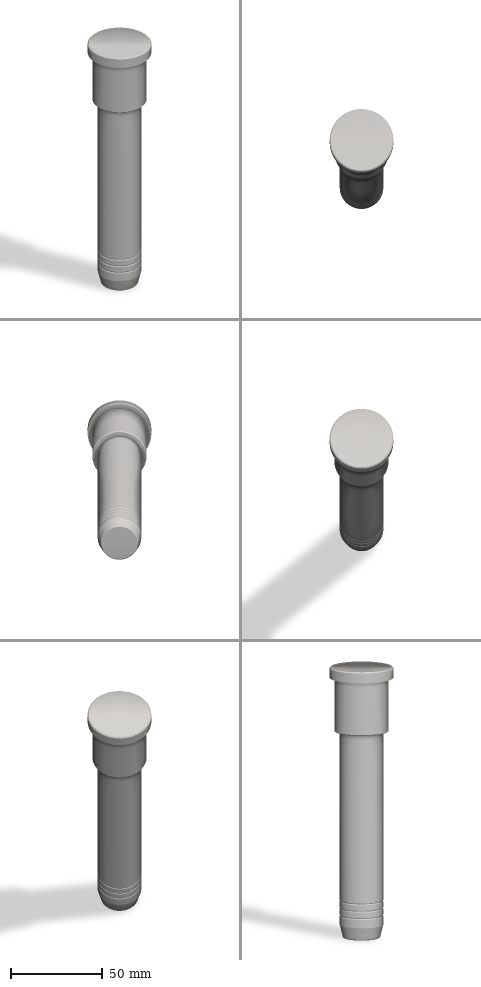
import cadquery as cq

length = 151.0
head_radius = 17.5
head_height = 6.0
collar_radius = 15.0
collar_bottom = 115.0
shank_diameter = 24.0
shank_radius = shank_diameter / 2

head_chamfer = 0.6
collar_chamfer = 0.5
relief_depth = 0.3
relief_height = 0.9

taper_height = 7.2
tip_radius = 10.3
tip_chamfer = 0.5

groove_count = 3
groove_depth = 0.3
groove_height = 1.0
lowest_groove_center = 12.4
groove_pitch = 4.1

head_bottom = length - head_height


def cylinder(radius, bottom, top):
    """Solid cylinder on the Z axis between two heights."""
    return cq.Workplane("XY").workplane(offset=bottom).circle(radius).extrude(top - bottom)


def square_ring(radius, depth, bottom, height):
    """Ring that cuts a square groove of the given depth into a cylinder."""
    return (
        cq.Workplane("XY")
        .workplane(offset=bottom)
        .circle(radius + depth)
        .circle(radius - depth)
        .extrude(height)
    )


def vee_ring(radius, depth, center, height):
    """Ring that cuts a V groove; height is the width of its mouth at the radius."""
    return (
        cq.Workplane("XZ")
        .moveTo(radius - depth, center)
        .lineTo(radius, center + height / 2)
        .lineTo(radius, center - height / 2)
        .close()
        .revolve(360, (0, 0, 0), (0, 1, 0))
    )


def tapered_tip():
    """Cone below the shank with a broken bottom edge."""
    return (
        cq.Workplane("XZ")
        .moveTo(0, 0)
        .lineTo(tip_radius - tip_chamfer, 0)
        .lineTo(tip_radius, tip_chamfer)
        .lineTo(shank_radius, taper_height)
        .lineTo(0, taper_height)
        .close()
        .revolve(360, (0, 0, 0), (0, 1, 0))
    )


head = cylinder(head_radius, head_bottom, length).faces(">Z").edges().chamfer(head_chamfer)
collar = cylinder(collar_radius, collar_bottom, head_bottom).faces("<Z").edges().chamfer(collar_chamfer)
shank = cylinder(shank_radius, taper_height, collar_bottom)
result = head.union(collar).union(shank).union(tapered_tip())

head_relief_center = head_bottom - relief_height / 2
result = result.cut(vee_ring(collar_radius, relief_depth, head_relief_center, relief_height))
collar_relief_bottom = collar_bottom - relief_height
result = result.cut(square_ring(shank_radius, relief_depth, collar_relief_bottom, relief_height))

for index in range(groove_count):
    groove_center = lowest_groove_center + index * groove_pitch
    result = result.cut(vee_ring(shank_radius, groove_depth, groove_center, groove_height))